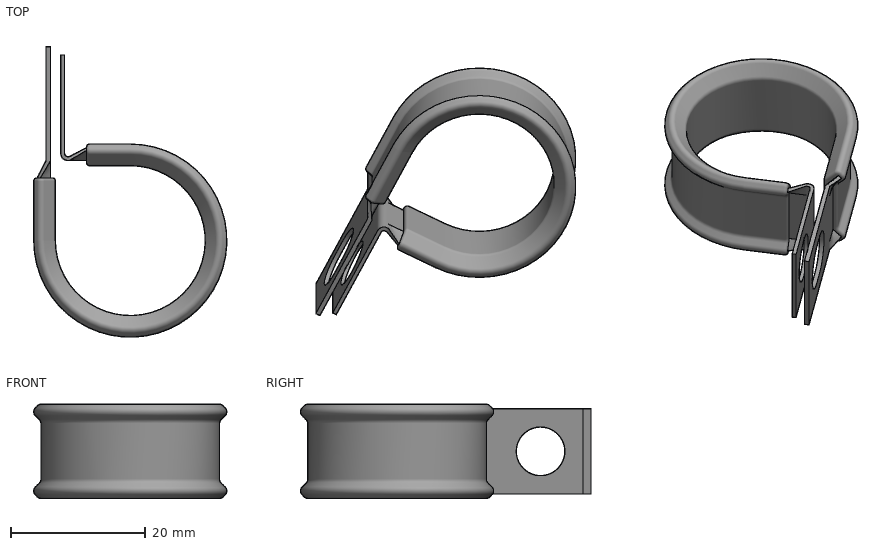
import cadquery as cq
import math


outer_radius = 14.41
waist_radius = 13.33
inner_radius = 11.15
cushion_width = 14.07
bend_radius = 0.8
crest_radius = 0.71
rim_height = 5.9
end_rounding = 0.47

ring_angle = 270
left_leg_length = 9.35
right_leg_length = 6.54

left_strap_radius = 11.87
right_strap_radius = 11.93
left_thickness = 0.7
right_thickness = 0.6
strap_width = 12.74
left_tab_end = 28.93
right_tab_end = 27.7
right_tab_outer_x = -10.37
right_bend_inner_radius = 0.45
embed_depth = 1.5

flare_root_height = 4.57
flare_rise = 1.32
left_flare_start = 11.94
right_flare_start = -9.1

hole_diameter = 7.2
hole_center_y = 21.4
slot_length = 9.54


def arc_point(center, degrees, radius=bend_radius):
    """Point on a cross-section bend around the given center."""
    angle = math.radians(degrees)
    return (
        center[0] + radius * math.cos(angle),
        center[1] + radius * math.sin(angle),
    )


def cushion_profile():
    """Cushion cross-section on the +X side; the rims flare outward at 45 degrees."""
    diagonal = bend_radius * math.sqrt(0.5)
    rim = (outer_radius - bend_radius, rim_height)
    crest_height = cushion_width / 2 - crest_radius
    tangent_shift = (bend_radius - crest_radius) * math.sqrt(2)
    crest = (rim[0] + rim_height - crest_height + tangent_shift, crest_height)
    inner_r = inner_radius + bend_radius
    inner = (inner_r, crest_height - (crest[0] - inner_r) - tangent_shift)
    waist_r = waist_radius + bend_radius
    waist = (waist_r, rim_height - (rim[0] - waist_r) - 4 * diagonal)
    return (
        cq.Workplane("XZ")
        .moveTo(inner_radius, 0)
        .lineTo(*arc_point(inner, 180))
        .threePointArc(arc_point(inner, 157.5), arc_point(inner, 135))
        .lineTo(*arc_point(crest, 135, crest_radius))
        .threePointArc(arc_point(crest, 90, crest_radius), arc_point(crest, 45, crest_radius))
        .lineTo(*arc_point(rim, 45))
        .threePointArc(arc_point(rim, 0), arc_point(rim, -45))
        .lineTo(*arc_point(waist, 135))
        .threePointArc(arc_point(waist, 157.5), arc_point(waist, 180))
        .lineTo(waist_radius, 0)
        .mirrorX()
    )


def turn(shape, degrees):
    return shape.rotate((0, 0, 0), (0, 0, 1), degrees)


def make_cushion():
    ring = turn(cushion_profile().revolve(ring_angle, (0, 0), (0, 1)), 180)
    left_leg = cushion_profile().extrude(left_leg_length).clean()
    left_leg = left_leg.faces("<Y").edges().fillet(end_rounding)
    right_leg = cushion_profile().extrude(-right_leg_length).clean()
    right_leg = right_leg.faces(">Y").edges().fillet(end_rounding)
    return ring.union(turn(left_leg, 180)).union(turn(right_leg, 90))


def flare_pair(strap_radius, thickness, start, end):
    """Twisted strap corners, laid out along +Y with the strap face toward -X.

    They start flat at `start`, are raised to 45 degrees at `end`, and run on into the cushion.
    """
    inner_x = -strap_radius
    outer_x = inner_x - thickness
    half_width = strap_width / 2
    raised_x = outer_x - flare_rise
    raised_height = flare_root_height + flare_rise
    edge_step = thickness * math.sqrt(0.5)
    flat = [
        (inner_x, flare_root_height),
        (outer_x, flare_root_height),
        (outer_x, half_width),
        (inner_x, half_width),
    ]
    raised = [
        (inner_x, flare_root_height),
        (outer_x, flare_root_height),
        (raised_x, raised_height),
        (raised_x + edge_step, raised_height + edge_step),
    ]
    corner = (
        cq.Workplane("XZ", origin=(0, start, 0))
        .polyline(flat)
        .close()
        .workplane(offset=start - end)
        .polyline(raised)
        .close()
        .loft(ruled=True)
    )
    stub = (
        cq.Workplane("XZ", origin=(0, end, 0))
        .polyline(raised)
        .close()
        .extrude(end_rounding)
    )
    corner = corner.union(stub)
    return corner.union(corner.mirror("XY"))


def strap_plate(outline, width):
    return outline.extrude(width / 2, both=True)


def make_left_tab():
    """Straight tab along +Y with a slotted hole."""
    outer_x = -left_strap_radius - left_thickness
    plate = strap_plate(
        cq.Workplane("XY")
        .moveTo(outer_x, left_flare_start)
        .lineTo(outer_x, left_tab_end)
        .lineTo(-left_strap_radius, left_tab_end)
        .lineTo(-left_strap_radius, left_flare_start)
        .close(),
        strap_width,
    )
    web = strap_plate(
        cq.Workplane("XY")
        .moveTo(outer_x, left_leg_length - embed_depth)
        .lineTo(outer_x, left_flare_start)
        .lineTo(-left_strap_radius, left_flare_start)
        .lineTo(-left_strap_radius, left_leg_length - embed_depth)
        .close(),
        2 * flare_root_height,
    )
    slot = (
        cq.Workplane("YZ", origin=(outer_x, 0, 0))
        .center(hole_center_y, 0)
        .slot2D(slot_length, hole_diameter)
        .extrude(left_thickness)
    )
    flares = flare_pair(left_strap_radius, left_thickness, left_flare_start, left_leg_length)
    return plate.cut(slot).union(web).union(flares)


def make_right_tab():
    """Tab bent from the ring's tangent direction up to +Y, with a round hole."""
    bottom_y = right_strap_radius
    top_y = bottom_y + right_thickness
    inner_x = right_tab_outer_x + right_thickness
    bend_outer_radius = right_bend_inner_radius + right_thickness
    bend_x = right_tab_outer_x + bend_outer_radius
    bend_y = bottom_y + bend_outer_radius
    plate = strap_plate(
        cq.Workplane("XY")
        .moveTo(right_tab_outer_x, right_tab_end)
        .lineTo(right_tab_outer_x, bend_y)
        .radiusArc((bend_x, bottom_y), -bend_outer_radius)
        .lineTo(right_flare_start, bottom_y)
        .lineTo(right_flare_start, top_y)
        .lineTo(bend_x, top_y)
        .radiusArc((inner_x, bend_y), right_bend_inner_radius)
        .lineTo(inner_x, right_tab_end)
        .close(),
        strap_width,
    )
    web = strap_plate(
        cq.Workplane("XY")
        .moveTo(right_flare_start, bottom_y)
        .lineTo(embed_depth - right_leg_length, bottom_y)
        .lineTo(embed_depth - right_leg_length, top_y)
        .lineTo(right_flare_start, top_y)
        .close(),
        2 * flare_root_height,
    )
    hole = (
        cq.Workplane("YZ", origin=(right_tab_outer_x, 0, 0))
        .center(hole_center_y, 0)
        .circle(hole_diameter / 2)
        .extrude(right_thickness)
    )
    flares = flare_pair(right_strap_radius, right_thickness, -right_flare_start, right_leg_length)
    flares = turn(flares.mirror("YZ"), 90)
    return plate.cut(hole).union(web).union(flares)


result = make_cushion().union(make_left_tab()).union(make_right_tab())